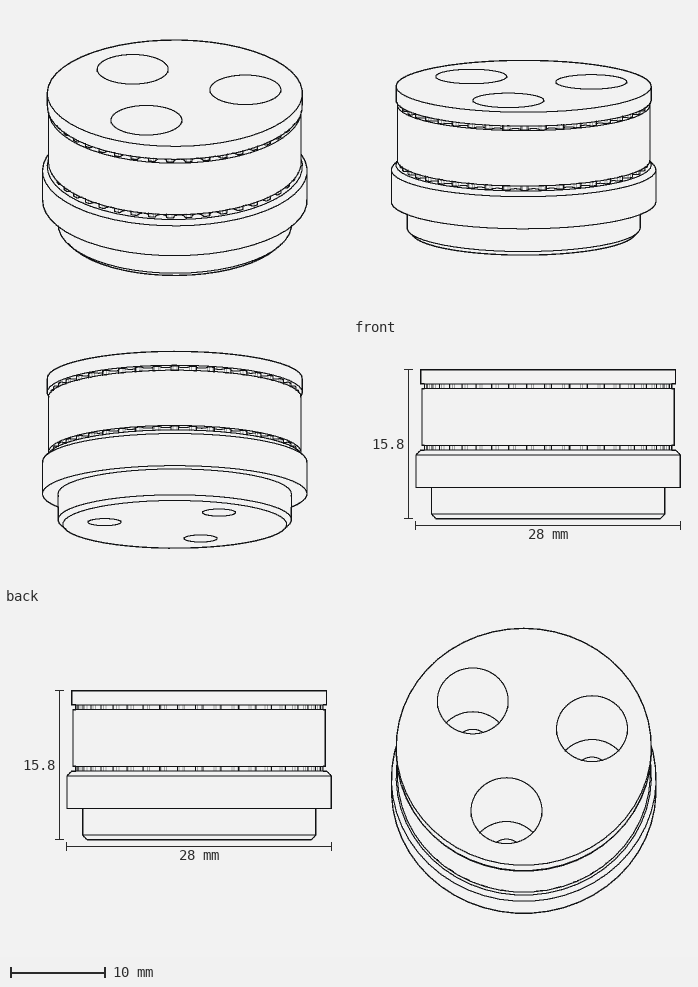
import cadquery as cq
import math

collar_diameter = 28.0
flange_diameter = 27.0
body_diameter = 26.75
spline_diameter = 26.2
spigot_diameter = 24.7

spigot_height = 3.3
collar_height = 3.98
spline_height = 0.5
body_height = 6.0
flange_height = 1.5
edge_chamfer = 0.5

tooth_count = 42
gap_radius = 0.6
tip_radius = 0.17
tooth_pitch = 360 / tooth_count
first_tooth_angle = -90.0

hole_count = 3
hole_circle_radius = 7.5
hole_diameter = 3.5
counterbore_diameter = 7.5
first_hole_angle = 180.0

collar_bottom = spigot_height
lower_spline_bottom = collar_bottom + collar_height
body_bottom = lower_spline_bottom + spline_height
upper_spline_bottom = body_bottom + body_height
flange_bottom = upper_spline_bottom + spline_height
total_height = flange_bottom + flange_height
counterbore_floor = collar_bottom


def disc(diameter, bottom, height):
    return cq.Workplane("XY").workplane(offset=bottom).circle(diameter / 2).extrude(height)


def spline_section(bottom):
    """Toothed disc whose gap arcs run tangentially into the rounded tooth corners."""
    tip_circle_radius = spline_diameter / 2
    corner_reach = tip_circle_radius - tip_radius
    corner_offset = gap_radius + tip_radius
    corner_angle = math.asin(corner_offset / corner_reach)
    gap_centre = math.sqrt(corner_reach**2 - corner_offset**2)
    corner_middle_direction = (corner_angle - math.pi / 2) / 2
    corner_middle = (
        gap_centre + tip_radius * math.cos(corner_middle_direction),
        corner_offset + tip_radius * math.sin(corner_middle_direction),
    )
    corner_end = (tip_circle_radius * math.cos(corner_angle), tip_circle_radius * math.sin(corner_angle))
    gap = (
        cq.Workplane("XY")
        .moveTo(gap_centre, -gap_radius)
        .threePointArc((gap_centre - gap_radius, 0), (gap_centre, gap_radius))
        .threePointArc(corner_middle, corner_end)
        .lineTo(collar_diameter / 2, corner_end[1])
        .lineTo(collar_diameter / 2, -corner_end[1])
        .lineTo(corner_end[0], -corner_end[1])
        .threePointArc((corner_middle[0], -corner_middle[1]), (gap_centre, -gap_radius))
        .close()
        .extrude(spline_height)
        .translate((0, 0, bottom))
    )
    section = disc(spline_diameter, bottom, spline_height)
    first_gap_angle = first_tooth_angle + tooth_pitch / 2
    for index in range(tooth_count):
        gap_angle = first_gap_angle + index * tooth_pitch
        section = section.cut(gap.rotate((0, 0, 0), (0, 0, 1), gap_angle))
    return section


def counterbored_hole(degrees):
    """Cutter for one through hole with a counterbore open at the top face."""
    angle = math.radians(degrees)
    centre = (hole_circle_radius * math.cos(angle), hole_circle_radius * math.sin(angle), 0)
    bore = disc(hole_diameter, 0, total_height)
    counterbore = disc(counterbore_diameter, counterbore_floor, total_height - counterbore_floor)
    return bore.union(counterbore).translate(centre)


spigot = disc(spigot_diameter, 0, spigot_height).faces("<Z").chamfer(edge_chamfer)
collar = disc(collar_diameter, collar_bottom, collar_height).faces(">Z").chamfer(edge_chamfer)
lower_spline = spline_section(lower_spline_bottom)
body = disc(body_diameter, body_bottom, body_height)
upper_spline = spline_section(upper_spline_bottom)
flange = disc(flange_diameter, flange_bottom, flange_height)

result = spigot
for section in (collar, lower_spline, body, upper_spline, flange):
    result = result.union(section)

for index in range(hole_count):
    result = result.cut(counterbored_hole(first_hole_angle + index * 360 / hole_count))